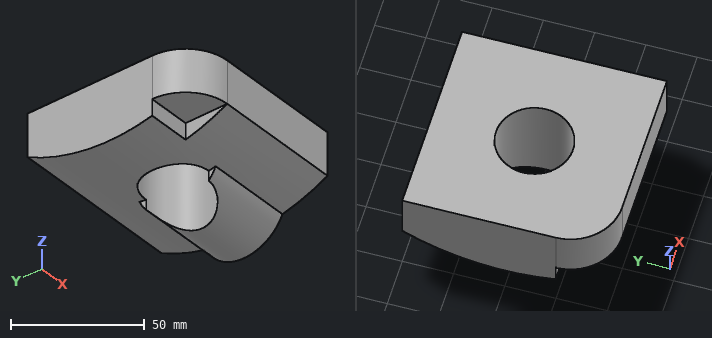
import cadquery as cq

side = 80.0
plate_height = 20.0
belly_depth = 10.0
corner_size = 20.0
hole_diameter = 30.0
boss_radius = 20.0

half_side = side / 2


def make_plate():
    """Square plate with one rounded vertical corner."""
    plate = cq.Workplane("XY").box(side, side, plate_height, centered=(True, True, False))
    return plate.edges("|Z and <X and <Y").fillet(corner_size)


def make_belly():
    """Shallow arched underside along X, notched square below the rounded corner."""
    belly = (
        cq.Workplane("YZ", origin=(-half_side, 0, 0))
        .moveTo(-half_side, 0)
        .threePointArc((0, -belly_depth), (half_side, 0))
        .close()
        .extrude(side)
    )
    notch = (
        cq.Workplane("XY", origin=(-half_side, -half_side, 0))
        .rect(corner_size, corner_size, centered=False)
        .extrude(-belly_depth)
    )
    return belly.cut(notch)


def make_boss():
    """Half-round boss along X, from the middle of the part to its +X face."""
    return (
        cq.Workplane("YZ")
        .moveTo(-boss_radius, 0)
        .threePointArc((0, -boss_radius), (boss_radius, 0))
        .close()
        .extrude(half_side)
    )


hole = (
    cq.Workplane("XY", origin=(0, 0, -boss_radius))
    .circle(hole_diameter / 2)
    .extrude(boss_radius + plate_height)
)

result = make_plate().union(make_belly()).union(make_boss()).cut(hole)